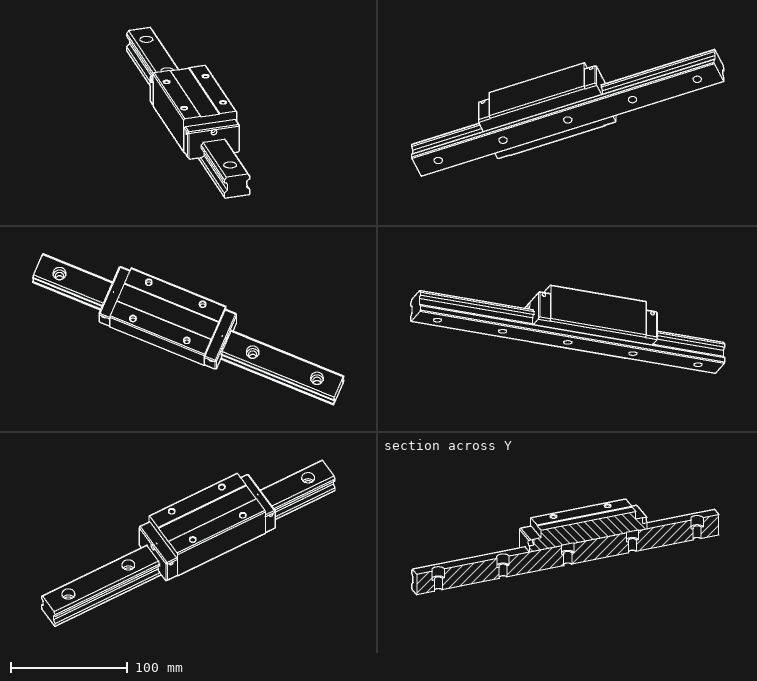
import cadquery as cq

rail_length = 280.0
rail_width = 23.0
rail_height = 20.5
rail_top_width = 19.5
rail_waist_width = 17.5
foot_chamfer = 0.8
foot_height = 5.0
waist_bottom = 7.5
waist_top = 13.2
lower_groove_width = 18.8
lower_groove_bottom = 14.0
head_bottom = 15.0
head_top = 18.0
upper_groove_radius = 3.5
lower_groove_radius = 2.2

bolt_hole_count = 5
bolt_hole_pitch = 60.0
bolt_hole_diameter = 7.0
counterbore_diameter = 11.0
counterbore_depth = 9.0

carriage_center = 19.0
carriage_length = 109.5
carriage_bottom = 6.0
carriage_bottom_chamfer = 1.7
block_length = 88.0
block_width = 48.0
block_top = 40.0
block_top_chamfer = 1.0
cap_width = 46.8
cap_top = 32.2
cap_chamfer = 1.0

recess_top_width = 17.5
recess_floor_width = 16.2
recess_depth = 0.5

mounting_pitch_x = 50.0
mounting_pitch_y = 35.0
mounting_hole_diameter = 5.0
mounting_hole_depth = 8.0
countersink_diameter = 6.0
countersink_angle = 60

port_depth = 4.2
end_port_diameter = 5.0
end_port_z = 28.8
side_port_diameter = 3.0
side_port_z = 29.5
side_port_inset = 4.8


def make_rail_bar():
    """Plain rail without holes; concave ball grooves lie above and below the head flanks."""
    half_width = rail_width / 2
    half_profile = (
        cq.Workplane("YZ", origin=(-rail_length / 2, 0, 0))
        .lineTo(half_width - foot_chamfer, 0)
        .lineTo(half_width, foot_chamfer)
        .lineTo(half_width, foot_height)
        .lineTo(rail_waist_width / 2, waist_bottom)
        .lineTo(rail_waist_width / 2, waist_top)
        .lineTo(lower_groove_width / 2, lower_groove_bottom)
        .radiusArc((half_width, head_bottom), lower_groove_radius)
        .lineTo(half_width, head_top)
        .radiusArc((rail_top_width / 2, rail_height), upper_groove_radius)
        .lineTo(0, rail_height)
        .close()
    )
    half_bar = half_profile.extrude(rail_length)
    return half_bar.union(half_bar.mirror("XZ")).clean()


def make_rail():
    return (
        make_rail_bar()
        .faces(">Z")
        .workplane(origin=(0, 0, rail_height))
        .rarray(bolt_hole_pitch, 2.8, bolt_hole_count, 1)
        .cboreHole(bolt_hole_diameter, counterbore_diameter, counterbore_depth)
    )


def carriage_box(length, width, top):
    """Box on the carriage axis, standing on the carriage underside."""
    return (
        cq.Workplane("XY", origin=(carriage_center, 0, carriage_bottom))
        .box(length, width, top - carriage_bottom, centered=(True, True, False))
    )


def make_block():
    """Central block with chamfered long edges, top recess and mounting holes."""
    block = (
        carriage_box(block_length, block_width, block_top)
        .edges("|X and >Z")
        .chamfer(block_top_chamfer)
        .edges("|X and <Z")
        .chamfer(carriage_bottom_chamfer)
        .faces(">Z")
        .workplane(origin=(carriage_center, 0, block_top))
        .rarray(mounting_pitch_x, mounting_pitch_y, 2, 2)
        .cskHole(mounting_hole_diameter, countersink_diameter, countersink_angle, mounting_hole_depth)
    )
    recess = (
        cq.Workplane("YZ", origin=(carriage_center, 0, block_top))
        .polyline([
            (-recess_top_width / 2, 0),
            (-recess_floor_width / 2, -recess_depth),
            (recess_floor_width / 2, -recess_depth),
            (recess_top_width / 2, 0),
        ])
        .close()
        .extrude(block_length / 2, both=True)
    )
    return block.cut(recess)


def make_end_caps():
    """Both end caps as one bar through the block; the lower end edges stay sharp."""
    return (
        carriage_box(carriage_length, cap_width, cap_top)
        .edges("|Z or >Z")
        .chamfer(cap_chamfer)
        .edges("|X and <Z")
        .chamfer(carriage_bottom_chamfer)
    )


def make_end_port(end):
    """Port in the outer face of the cap at the -X (end = -1) or +X (end = 1) side."""
    return (
        cq.Workplane("YZ", origin=(carriage_center + end * carriage_length / 2, 0, end_port_z))
        .circle(end_port_diameter / 2)
        .extrude(-end * port_depth)
    )


def make_side_port(end, side):
    """Port in the flank of a cap, entered from -Y (side = -1) or +Y (side = 1)."""
    port_x = carriage_center + end * (carriage_length / 2 - side_port_inset)
    return (
        cq.Workplane("XZ", origin=(port_x, side * cap_width / 2, side_port_z))
        .circle(side_port_diameter / 2)
        .extrude(side * port_depth)
    )


def make_carriage():
    body = make_block().union(make_end_caps())
    for end in (-1, 1):
        body = body.cut(make_end_port(end))
        for side in (-1, 1):
            body = body.cut(make_side_port(end, side))
    return body.cut(make_rail_bar())


rail = make_rail()
carriage = make_carriage()
result = cq.Compound.makeCompound([rail.val(), carriage.val()])